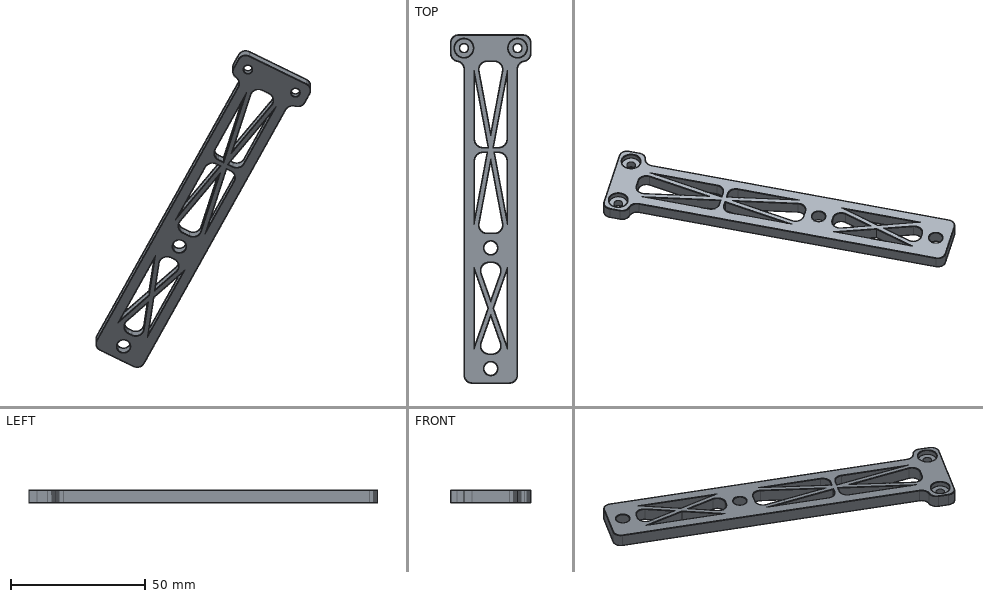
import cadquery as cq
import math

length = 130.0
thickness = 5.0
bar_width = 20.0
head_width = 30.0
head_length = 10.0
corner_radius = 3.0
edge_chamfer = 0.2

screw_spacing = 20.0
screw_inset = 5.0
screw_diameter = 3.2
screw_head_diameter = 7.0
screw_head_depth = 2.0

hole_diameter = 5.0

window_width = 12.0
window_radius = 3.0
window_gap = 5.5
brace_width = 2.0
long_window_length = 64.0
short_window_length = 34.0
crossbar_width = 2.0
crossbar_offset = 1.0

head_end = length / 2
foot_end = -length / 2
half_window = window_width / 2

long_window_centre = head_end - head_length - long_window_length / 2
upper_hole_y = long_window_centre - long_window_length / 2 - window_gap
short_window_centre = upper_hole_y - window_gap - short_window_length / 2
lower_hole_y = short_window_centre - short_window_length / 2 - window_gap


def plate():
    """Head and bar with rounded corners.

    Each shoulder is an S of two tangent arcs, one around the head corner and one into the bar side.
    """
    half_bar = bar_width / 2
    half_head = head_width / 2
    corner_y = head_end - head_length + corner_radius
    join_x = (half_bar + half_head) / 2
    centre_spacing = 2 * corner_radius
    centre_offset_x = centre_spacing - (half_head - half_bar)
    arc_height = math.sqrt(centre_spacing**2 - centre_offset_x**2)
    right_half = (
        cq.Workplane("XY")
        .moveTo(0, foot_end)
        .lineTo(half_bar, foot_end)
        .lineTo(half_bar, corner_y - arc_height)
        .tangentArcPoint((join_x, corner_y - arc_height / 2), relative=False)
        .tangentArcPoint((half_head, corner_y), relative=False)
        .lineTo(half_head, head_end)
        .lineTo(0, head_end)
        .close()
        .extrude(thickness)
    )
    body = right_half.union(right_half.mirror("YZ")).clean()
    return body.edges("|Z").edges(">Y or <Y").fillet(corner_radius)


def prism(points):
    return cq.Workplane("XY").polyline(points).close().extrude(thickness)


def braced_window(window_length, crossbar_y=None):
    """Cutter for a window centred on the origin, leaving braces along both of its diagonals.

    A crossbar centred on crossbar_y is left as well when that is given.
    """
    half_length = window_length / 2
    slope = window_width / window_length
    half_brace = brace_width / 2 * math.hypot(1, slope)
    apex = half_brace / slope
    tip = half_length - apex
    base = half_window - half_brace
    end_opening = prism([(0, apex), (base, half_length), (-base, half_length)])
    end_opening = end_opening.edges("|Z").edges(">Y").fillet(window_radius)
    openings = end_opening.union(end_opening.mirror("XZ"))

    side = prism([(half_window, tip), (half_brace, 0), (half_window, -tip)])
    if crossbar_y is not None:
        crossbar = cq.Workplane("XY").rect(window_width, crossbar_width).extrude(thickness)
        side = side.cut(crossbar.translate((0, crossbar_y, 0)))
        bar_top = crossbar_y + crossbar_width / 2
        bar_bottom = crossbar_y - crossbar_width / 2
        for y in (bar_top, bar_bottom):
            corner = cq.selectors.NearestToPointSelector((half_window, y, thickness / 2))
            side = side.edges("|Z").edges(corner).fillet(window_radius)
    return openings.union(side).union(side.mirror("YZ"))


def cut_screw_holes(body):
    half_spacing = screw_spacing / 2
    row = head_end - screw_inset
    return (
        body.faces(">Z")
        .workplane(origin=(0, 0, thickness))
        .pushPoints([(-half_spacing, row), (half_spacing, row)])
        .cboreHole(screw_diameter, screw_head_diameter, screw_head_depth)
    )


def cut_centre_holes(body):
    return (
        body.faces(">Z")
        .workplane(origin=(0, 0, thickness))
        .pushPoints([(0, upper_hole_y), (0, lower_hole_y)])
        .hole(hole_diameter)
    )


long_window = braced_window(long_window_length, -crossbar_offset)
short_window = braced_window(short_window_length)

result = cut_centre_holes(cut_screw_holes(plate()))
result = result.cut(long_window.translate((0, long_window_centre, 0)))
result = result.cut(short_window.translate((0, short_window_centre, 0)))
result = result.faces("<Z or >Z").edges().chamfer(edge_chamfer)